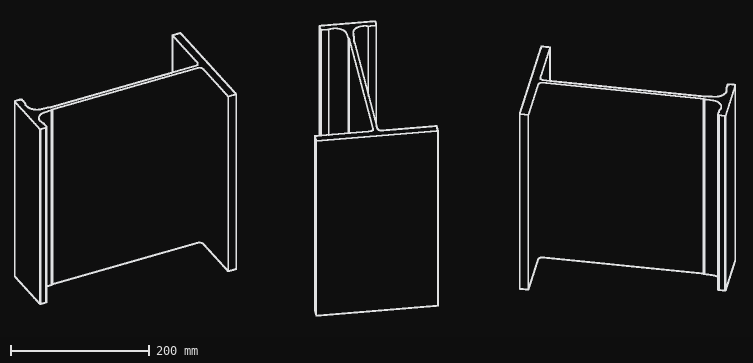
import cadquery as cq
import math

length = 304.8
depth = 293.8
wide_flange_width = 177.7
wide_flange_thickness = 13.0
wide_flange_fillet = 6.0

narrow_flange_width = 82.0
narrow_flange_thickness = 11.5
outer_edge_chamfer = 1.2
inner_edge_drop = 2.5
inner_edge_inset = 1.0

web_thickness = 6.5
foot_thickness = 8.8
foot_base_thickness = 9.8
step_start = 39.5
step_end = 37.2
taper_start = 33.5
groove_centre_height = 26.8

groove_radius = 16.8

bottom = -depth / 2
top = depth / 2
groove_centre_x = foot_base_thickness / 2 + groove_radius
groove_centre_y = bottom + groove_centre_height
flange_top = bottom + narrow_flange_thickness
narrow_half = narrow_flange_width / 2
wide_half = wide_flange_width / 2
web_half = web_thickness / 2
wide_flange_inner = top - wide_flange_thickness

groove_rise = math.sqrt(groove_radius**2 - (groove_centre_y - flange_top) ** 2)
groove_end_x = groove_centre_x + groove_rise
groove_mid_x = groove_centre_x - groove_radius * math.sqrt(0.5)
groove_mid_y = groove_centre_y - groove_radius * math.sqrt(0.5)

half_section = (
    cq.Workplane("XY", origin=(0, 0, -length / 2))
    .moveTo(0, bottom)
    .lineTo(narrow_half - outer_edge_chamfer, bottom)
    .lineTo(narrow_half, bottom + outer_edge_chamfer)
    .lineTo(narrow_half, flange_top - inner_edge_drop)
    .lineTo(narrow_half - inner_edge_inset, flange_top)
    .lineTo(groove_end_x, flange_top)
    .threePointArc((groove_mid_x, groove_mid_y), (foot_base_thickness / 2, groove_centre_y))
    .lineTo(foot_thickness / 2, bottom + taper_start)
    .lineTo(foot_thickness / 2, bottom + step_end)
    .lineTo(web_half, bottom + step_start)
    .lineTo(web_half, wide_flange_inner - wide_flange_fillet)
    .radiusArc((web_half + wide_flange_fillet, wide_flange_inner), wide_flange_fillet)
    .lineTo(wide_half, wide_flange_inner)
    .lineTo(wide_half, top)
    .lineTo(0, top)
    .close()
)

half_beam = half_section.extrude(length)
result = half_beam.union(half_beam.mirror("YZ")).clean()